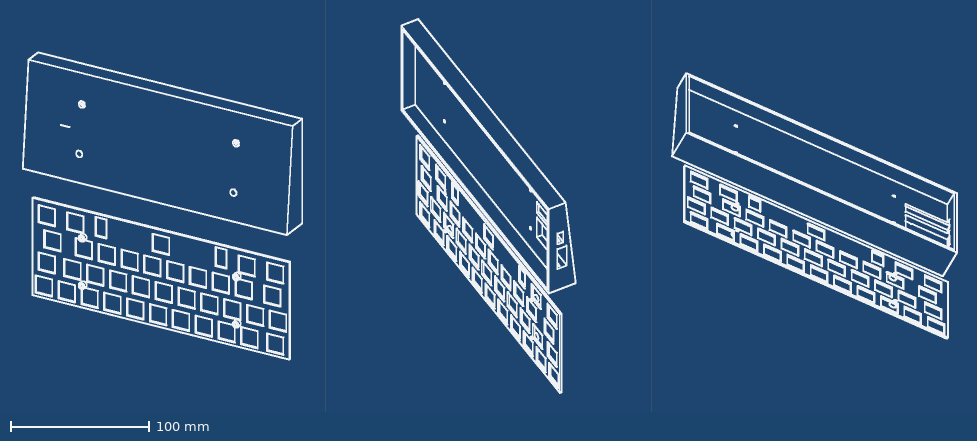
import cadquery as cq

case_width = 220.4
case_height = 84.2
case_bottom_depth = 22.5
case_top_depth = 14.0
top_z = 189.7
case_bottom_z = top_z - case_height
back_y = case_bottom_depth
wall = 2.5
floor_depth = 10.4
floor_y = back_y - floor_depth

port_back_depth = 7.3
pocket_end_x = 36.5
switch_port_depth = 12.1
switch_port_bottom_z = 151.2
switch_port_height = 10.5
usb_port_depth = 15.0
usb_port_bottom_z = 126.7
usb_port_height = 19.6
usb_port_top_z = usb_port_bottom_z + usb_port_height

slit_start_x = 29.5
slit_height = 0.2

plate_width = 214.2
plate_height = 78.2
plate_thickness = 1.5
plate_left_x = 2.0
plate_back_y = floor_y
plate_front_y = plate_back_y - plate_thickness
row_key_widths = [
    [1] * 10 + [1.25],
    [1.25] + [1] * 10,
    [1.75] + [1] * 8 + [1.5],
    [1.25, 1.25, 6.25, 1.25, 1.25],
]
pitch = plate_width / sum(row_key_widths[0])
key_hole = 13.9

stabilizer_offset = 50.0
stabilizer_width = 9.3
stabilizer_height = 15.2
stabilizer_raise = 1.3

boss_diameter = 5.0
boss_length = 3.0
screw_diameter = 2.2
screw_head_diameter = 5.0
screw_seat = 3.7
screw_columns = [2.25 * pitch, 9 * pitch]
screw_rows = [pitch, 3 * pitch]
screw_points = [(x, z) for x in screw_columns for z in screw_rows]
case_screw_x = (case_width - plate_width) / 2
case_screw_rise = 3.0
case_screw_z = case_bottom_z + case_screw_rise


def box(x0, x1, y0, y1, z0, z1):
    """Box between two opposite corners."""
    return cq.Workplane("XY").box(x1 - x0, y1 - y0, z1 - z0, centered=False).translate((x0, y0, z0))


def rod(x, z, start_y, end_y, diameter):
    """Cylinder along Y between two Y positions."""
    length = end_y - start_y
    return cq.Workplane("XZ", origin=(x, end_y, z)).circle(diameter / 2).extrude(length)


def port(depth, bottom_z, height):
    """Port through the -X wall that runs inward as a pocket."""
    return box(0, pocket_end_x, back_y - depth, back_y - port_back_depth, bottom_z, bottom_z + height)


def make_case():
    profile = [
        (0, case_bottom_z),
        (back_y, case_bottom_z),
        (back_y, top_z),
        (back_y - case_top_depth, top_z),
    ]
    case = cq.Workplane("YZ").polyline(profile).close().extrude(case_width)
    case = case.cut(box(wall, case_width - wall, floor_y, back_y, case_bottom_z + wall, top_z - wall))

    case = case.cut(port(switch_port_depth, switch_port_bottom_z, switch_port_height))
    case = case.cut(port(usb_port_depth, usb_port_bottom_z, usb_port_height))
    slit_bottom_z = usb_port_top_z - slit_height
    case = case.cut(box(slit_start_x, pocket_end_x, 0, floor_y, slit_bottom_z, usb_port_top_z))

    for column, row in screw_points:
        x = case_screw_x + column
        z = case_screw_z + row
        case = case.cut(rod(x, z, 0, floor_y, screw_diameter))
        case = case.cut(rod(x, z, 0, floor_y - screw_seat, screw_head_diameter))
    return case


def plate_window(x, z, width, height):
    """Rectangular cutter through the plate, centred on (x, z)."""
    return box(
        x - width / 2, x + width / 2, plate_front_y, plate_back_y, z - height / 2, z + height / 2
    )


def make_plate():
    plate = box(plate_left_x, plate_left_x + plate_width, plate_front_y, plate_back_y, 0, plate_height)
    for row, key_widths in enumerate(row_key_widths):
        row_z = (row + 0.5) * pitch
        key_left_x = plate_left_x
        for key_width in key_widths:
            key_x = key_left_x + key_width * pitch / 2
            plate = plate.cut(plate_window(key_x, row_z, key_hole, key_hole))
            key_left_x += key_width * pitch

    space_bar_x = plate_left_x + plate_width / 2
    stabilizer_z = (len(row_key_widths) - 0.5) * pitch + stabilizer_raise
    for side in (-1, 1):
        x = space_bar_x + side * stabilizer_offset
        plate = plate.cut(plate_window(x, stabilizer_z, stabilizer_width, stabilizer_height))

    boss_end_y = plate_front_y - boss_length
    for column, row in screw_points:
        x = plate_left_x + column
        plate = plate.union(rod(x, row, boss_end_y, plate_front_y, boss_diameter))
        plate = plate.cut(rod(x, row, boss_end_y, plate_back_y, screw_diameter))
    return plate


case = make_case()
plate = make_plate()
result = cq.Compound.makeCompound([case.val(), plate.val()])